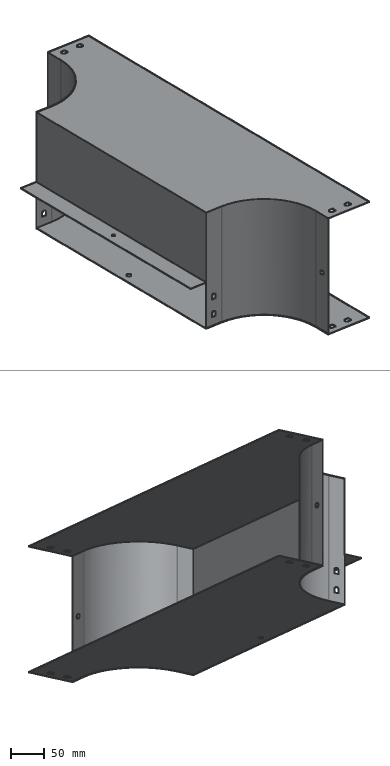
import cadquery as cq

length = 660.0
height = 200.0
depth = 240.0
branch_width = 400.0
sheet = 0.8
lip_level = 79.0

wall_hole = 7.0
lip_hole = 5.0
slot_length = 9.0
slot_width = 7.0
edge_distance = 15.0
slot_pitch = 30.5
low_slot_level = 20.5

half_length = length / 2
half_branch = branch_width / 2
bend_radius = height / 2
end_flat = half_length - half_branch - bend_radius
lip_depth = end_flat
run_front = end_flat + bend_radius
back = depth - lip_depth
arc_inset = bend_radius * 0.5 ** 0.5


def tee_outline(inset):
    """Tee outline with its side walls moved inward; the open ends stay in place."""
    branch = half_branch - inset
    front = run_front + inset
    arc_reach = arc_inset + inset * 0.5 ** 0.5
    arc_x = half_branch + bend_radius - arc_reach
    arc_y = end_flat + arc_reach
    shoulder = half_branch + bend_radius
    return (
        cq.Workplane("XY")
        .moveTo(-branch, 0)
        .lineTo(branch, 0)
        .lineTo(branch, end_flat)
        .threePointArc((arc_x, arc_y), (shoulder, front))
        .lineTo(half_length, front)
        .lineTo(half_length, back)
        .lineTo(-half_length, back)
        .lineTo(-half_length, front)
        .lineTo(-shoulder, front)
        .threePointArc((-arc_x, arc_y), (-branch, end_flat))
        .close()
    )


def make_shell():
    """Two tee plates joined by the curved side walls, open at all ends."""
    outside = tee_outline(0).extrude(height)
    inside = tee_outline(sheet).extrude(height - 2 * sheet).translate((0, 0, sheet))
    return outside.cut(inside)


def make_front_panel():
    """Panel closing the upper part of the branch, with a forward lip."""
    panel = cq.Workplane("XY").box(
        2 * half_branch, sheet, height - lip_level, centered=(True, False, False)
    ).translate((0, 0, lip_level))
    lip = cq.Workplane("XY").box(
        2 * half_branch, lip_depth + sheet, sheet, centered=(True, False, False)
    ).translate((0, -lip_depth, lip_level))
    return panel.union(lip)


def slot_cutter(plane, centre, round_side, cut_length):
    """Slot with one square end; its round end faces up (+1) or down (-1) in the plane."""
    radius = slot_width / 2
    square_end = -round_side * slot_length / 2
    arc_start = -square_end - round_side * radius
    return (
        cq.Workplane(plane)
        .center(*centre)
        .moveTo(-radius, square_end)
        .lineTo(radius, square_end)
        .lineTo(radius, arc_start)
        .threePointArc((0, -square_end), (-radius, arc_start))
        .close()
        .extrude(cut_length, both=True)
    )


def cut_run_end_slots(body):
    """Slots through both plates at each end of the run, square towards the back."""
    slot_x = half_length - edge_distance
    for x in (-slot_x, slot_x):
        for row in (1, 2):
            body = body.cut(slot_cutter("XY", (x, back - row * slot_pitch), -1, height))
    return body


def cut_branch_slots(body):
    """Slots through both branch walls below the lip, square towards the base."""
    for row in (0, 1):
        centre = (edge_distance, low_slot_level + row * slot_pitch)
        body = body.cut(slot_cutter("YZ", centre, 1, half_length))
    return body


def end_wall_holes():
    """One hole at mid-height in each flat end wall."""
    hole_x = half_length - edge_distance
    return (
        cq.Workplane("XZ", origin=(0, back, 0))
        .pushPoints([(-hole_x, height / 2), (hole_x, height / 2)])
        .circle(wall_hole / 2)
        .extrude(back)
    )


def base_hole():
    """Hole through the base plate at the middle of the branch end."""
    return cq.Workplane("XY").center(0, edge_distance).circle(wall_hole / 2).extrude(sheet)


def lip_centre_hole():
    """Hole through the middle of the lip."""
    return (
        cq.Workplane("XY", origin=(0, -lip_depth / 2, lip_level))
        .circle(lip_hole / 2)
        .extrude(sheet)
    )


result = make_shell().union(make_front_panel())
result = cut_run_end_slots(result)
result = cut_branch_slots(result)
for holes in (end_wall_holes(), base_hole(), lip_centre_hole()):
    result = result.cut(holes)